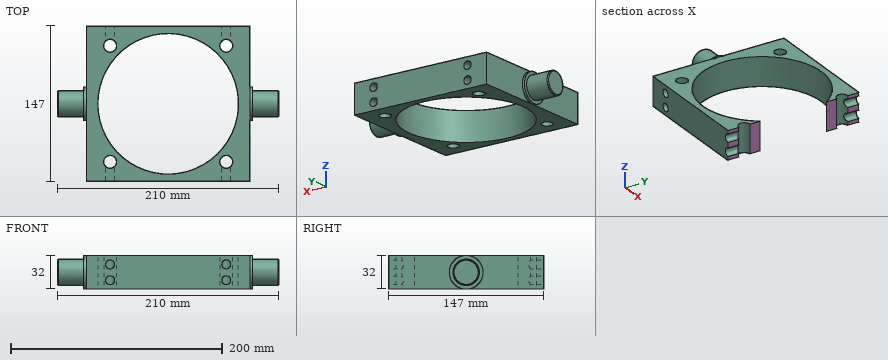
import cadquery as cq

FRAME_X = 155.0
FRAME_Y = 147.0
THICKNESS = 32.0
BORE_DIAMETER = 133.0

BOLT_SPACING = 110.0
BOLT_HOLE_DIAMETER = 12.0

PORT_DIAMETER = 8.5
PORT_SPACING_Z = 15.0
PORT_DEPTH = (FRAME_Y - BOLT_SPACING) / 2

TRUNNION_SPAN = 210.0
TRUNNION_DIAMETER = 25.0
TRUNNION_CHAMFER = 1.0
COLLAR_SPAN = 160.0
COLLAR_DIAMETER = THICKNESS


def make_frame():
    """Plate with a central bore and four bolt holes."""
    return (
        cq.Workplane("XY")
        .box(FRAME_X, FRAME_Y, THICKNESS)
        .faces(">Z").workplane()
        .hole(BORE_DIAMETER)
        .faces(">Z").workplane()
        .rect(BOLT_SPACING, BOLT_SPACING, forConstruction=True)
        .vertices()
        .hole(BOLT_HOLE_DIAMETER)
    )


def make_trunnion(side):
    """Collar and chamfered pin on the +X (side=1) or -X (side=-1) face."""
    face = cq.Workplane("YZ", origin=(side * FRAME_X / 2, 0, 0))
    collar_length = (COLLAR_SPAN - FRAME_X) / 2
    pin_length = (TRUNNION_SPAN - FRAME_X) / 2
    collar = face.circle(COLLAR_DIAMETER / 2).extrude(side * collar_length)
    pin = face.circle(TRUNNION_DIAMETER / 2).extrude(side * pin_length)
    outer_end = ">X" if side > 0 else "<X"
    return collar.union(pin.faces(outer_end).chamfer(TRUNNION_CHAMFER))


def make_ports(side):
    """Cutters for the four cross holes in the +Y (side=1) or -Y (side=-1) face."""
    return (
        cq.Workplane("XZ", origin=(0, side * FRAME_Y / 2, 0))
        .rect(BOLT_SPACING, PORT_SPACING_Z, forConstruction=True)
        .vertices()
        .circle(PORT_DIAMETER / 2)
        .extrude(side * PORT_DEPTH)
    )


result = make_frame()
for side in (-1, 1):
    result = result.cut(make_ports(side)).union(make_trunnion(side))